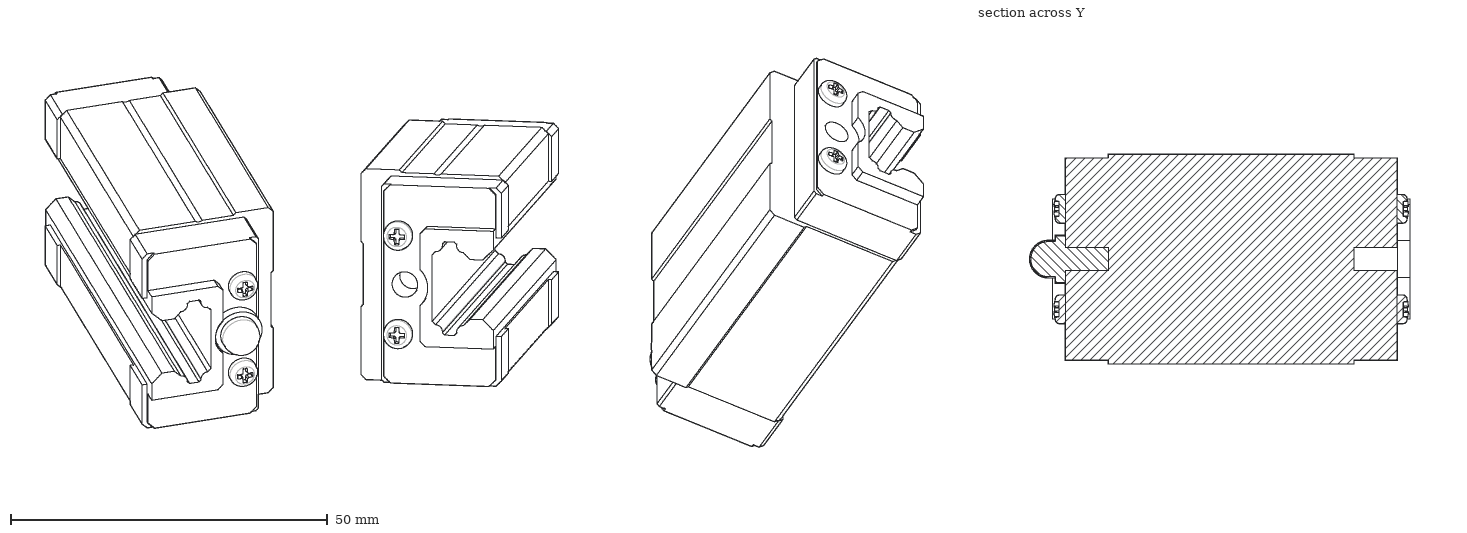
import cadquery as cq
import math


block_length = 38.8
block_half_height = 17.0
side_half_height = 16.6
shoulder_depth = 6.2
mount_chamfer = 0.85
mount_relief_depth = 0.35
mount_relief_half_height = 4.9
block_depth = 23.15
block_foot_chamfer = 1.0
groove_depth_position = 12.3
groove_width = 1.15
groove_sag = 0.2

lip_depth = 22.85
lip_half_height = 7.95

cap_length = 6.4
cap_top = 4.45
cap_top_chamfer = 0.4
cap_depth = 23.7
cap_half_height = 16.0

plate_thickness = 0.45
plate_top = 4.85
plate_chamfer = 1.1

seal_end = 28.25
seal_top = 11.05
seal_half_height = 9.5
seal_chamfer = 0.85

channel_top = 13.05
channel_corner_half_height = 5.35
channel_corner_chamfer = 0.55
ball_row_radius = 1.1
slot_half_height = 7.5
slot_half_width = 1.15
slot_corner_chamfer = 0.35
mouth_half_height = 4.8
mouth_land_end = 21.15
mouth_edge_half_height = 6.5

port_depth_position = 8.3
port_radius = 2.05
seal_relief_radius = 4.0
flange_radius = 3.85
flange_thickness = 1.55
nipple_radius = 3.0
nipple_end = 31.85

screw_depth_position = 7.3
screw_half_spacing = 7.95
screw_head_radius = 2.3
screw_rim_height = 0.85
screw_edge_radius = 0.7
screw_head_height = 1.8
recess_depth = 0.85
recess_length = 2.3
recess_width = 0.5
recess_core_width = 1.0
recess_wall_angle = 10.0

block_end = block_length / 2
cap_end = block_end + cap_length
plate_end = cap_end + plate_thickness


def section_plane(x):
    """Workplane across the carriage at x, with local axes Y and Z."""
    return cq.Workplane("YZ", origin=(x, 0, 0))


def symmetric_prism(half_outline, start, end):
    """Extrude an outline given as (depth, half height) points and mirrored about Z = 0."""
    upper = [(-depth, height) for depth, height in half_outline]
    lower = [(y, -z) for y, z in reversed(upper)]
    return section_plane(start).polyline(upper + lower).close().extrude(end - start)


def make_block():
    shoulder_step = block_half_height - side_half_height
    outline = [
        (mount_relief_depth, mount_relief_half_height),
        (0, mount_relief_half_height + mount_relief_depth),
        (0, block_half_height - mount_chamfer),
        (mount_chamfer, block_half_height),
        (shoulder_depth, block_half_height),
        (shoulder_depth + shoulder_step, side_half_height),
        (block_depth - block_foot_chamfer, side_half_height),
        (block_depth, side_half_height - block_foot_chamfer),
        (block_depth, lip_half_height),
        (lip_depth, lip_half_height),
    ]
    block = symmetric_prism(outline, -block_end, block_end)
    groove_radius = (groove_width**2 / 4 + groove_sag**2) / (2 * groove_sag)
    groove_center = (-groove_depth_position, side_half_height + groove_radius - groove_sag)
    groove = section_plane(-block_end).center(*groove_center).circle(groove_radius).extrude(block_length)
    return block.cut(groove)


def make_cap_end():
    """End cap, cover plate and seal of the +X end, with the blind grease port."""
    foot_chamfer = cap_depth - lip_depth
    outline = [
        (cap_top, cap_half_height - cap_top_chamfer),
        (cap_top + cap_top_chamfer, cap_half_height),
        (lip_depth, cap_half_height),
        (cap_depth, cap_half_height - foot_chamfer),
        (cap_depth, lip_half_height),
        (lip_depth, lip_half_height),
    ]
    cap = symmetric_prism(outline, block_end, cap_end)
    plate_outline = [
        (plate_top, cap_half_height - plate_chamfer),
        (plate_top + plate_chamfer, cap_half_height),
        (lip_depth - plate_chamfer, cap_half_height),
        (lip_depth, cap_half_height - plate_chamfer),
    ]
    plate = symmetric_prism(plate_outline, cap_end, plate_end)
    seal_outline = [
        (seal_top, seal_half_height - seal_chamfer),
        (seal_top + seal_chamfer, seal_half_height),
        (lip_depth, seal_half_height),
    ]
    seal = symmetric_prism(seal_outline, plate_end, seal_end)
    relief = section_plane(plate_end).center(-port_depth_position, 0).circle(seal_relief_radius)
    seal = seal.cut(relief.extrude(seal_end - plate_end))
    port = section_plane(block_end).center(-port_depth_position, 0).circle(port_radius)
    return cap.union(plate).union(seal).cut(port.extrude(plate_end - block_end))


def make_channel():
    """Cutter for the rail channel: a rounded ball row on each side of a slot, in both side walls."""
    first_row_start = channel_top + channel_corner_chamfer
    row_half_height = channel_corner_half_height + channel_corner_chamfer
    slot_start = first_row_start + ball_row_radius
    slot_end = slot_start + 2 * slot_half_width
    second_row_end = slot_end + ball_row_radius
    row_top = row_half_height + ball_row_radius
    slot_shoulder = slot_half_height - slot_corner_chamfer
    diagonal = ball_row_radius * math.sqrt(0.5)
    mouth_land_start = second_row_end + row_half_height - mouth_half_height
    clear_depth = cap_depth + 0.6

    half = (
        section_plane(-seal_end)
        .moveTo(-channel_top, 0)
        .lineTo(-channel_top, channel_corner_half_height)
        .lineTo(-first_row_start, row_half_height)
        .threePointArc((-first_row_start - diagonal, row_top - diagonal), (-slot_start, row_top))
        .lineTo(-slot_start, slot_shoulder)
        .lineTo(-slot_start - slot_corner_chamfer, slot_half_height)
        .lineTo(-slot_end + slot_corner_chamfer, slot_half_height)
        .lineTo(-slot_end, slot_shoulder)
        .lineTo(-slot_end, row_top)
        .threePointArc((-second_row_end + diagonal, row_top - diagonal), (-second_row_end, row_half_height))
        .lineTo(-mouth_land_start, mouth_half_height)
        .lineTo(-mouth_land_end, mouth_half_height)
        .lineTo(-lip_depth, mouth_edge_half_height)
        .lineTo(-clear_depth, mouth_edge_half_height)
        .lineTo(-clear_depth, 0)
        .close()
        .extrude(2 * seal_end)
    )
    return half.union(half.mirror("XY"))


def make_housing():
    cap_assembly = make_cap_end()
    blank = make_block().union(cap_assembly).union(cap_assembly.mirror("YZ"))
    return blank.cut(make_channel())


def make_nipple():
    """Grease nipple filling the +X port: shank, flange and domed head."""
    dome_start = nipple_end - nipple_radius
    flange_end = plate_end + flange_thickness
    diagonal = nipple_radius * math.sqrt(0.5)
    profile = (
        cq.Workplane("XY")
        .moveTo(block_end, 0)
        .lineTo(block_end, port_radius)
        .lineTo(plate_end, port_radius)
        .lineTo(plate_end, flange_radius)
        .lineTo(flange_end, flange_radius)
        .lineTo(flange_end, nipple_radius)
        .lineTo(dome_start, nipple_radius)
        .threePointArc((dome_start + diagonal, diagonal), (nipple_end, 0))
        .close()
    )
    return profile.revolve(360, (0, 0, 0), (1, 0, 0)).translate((0, -port_depth_position, 0))


def make_screw_head():
    """Domed cross-recess screw head standing on the plane X = 0 and pointing to +X."""
    crown_radius = screw_head_radius - screw_edge_radius
    crown_start = screw_rim_height + screw_edge_radius
    edge_diagonal = screw_edge_radius * math.sqrt(0.5)
    crown_rise = screw_head_height - crown_start
    profile = (
        cq.Workplane("XY")
        .lineTo(0, screw_head_radius)
        .lineTo(screw_rim_height, screw_head_radius)
        .threePointArc(
            (screw_rim_height + edge_diagonal, crown_radius + edge_diagonal),
            (crown_start, crown_radius),
        )
        .threePointArc((crown_start + 0.75 * crown_rise, crown_radius / 2), (screw_head_height, 0))
        .close()
    )
    head = profile.revolve(360, (0, 0, 0), (1, 0, 0))
    recess_floor = section_plane(screw_head_height - recess_depth)
    flare = -recess_wall_angle
    arm = recess_floor.rect(recess_width, recess_length).extrude(recess_depth, taper=flare)
    crossing_arm = arm.rotate((0, 0, 0), (1, 0, 0), 90)
    core = recess_floor.rect(recess_core_width, recess_core_width).extrude(recess_depth, taper=flare)
    core = core.rotate((0, 0, 0), (1, 0, 0), 45)
    return head.cut(arm.union(crossing_arm).union(core))


def make_screws():
    screws = []
    for end in (-1, 1):
        for side in (-1, 1):
            head = make_screw_head()
            if end < 0:
                head = head.mirror("YZ")
            seat = (end * plate_end, -screw_depth_position, side * screw_half_spacing)
            screws.append(head.translate(seat))
    return screws


housing = make_housing()
nipple = make_nipple()
screws = make_screws()

result = cq.Compound.makeCompound([housing.val(), nipple.val(), *[screw.val() for screw in screws]])